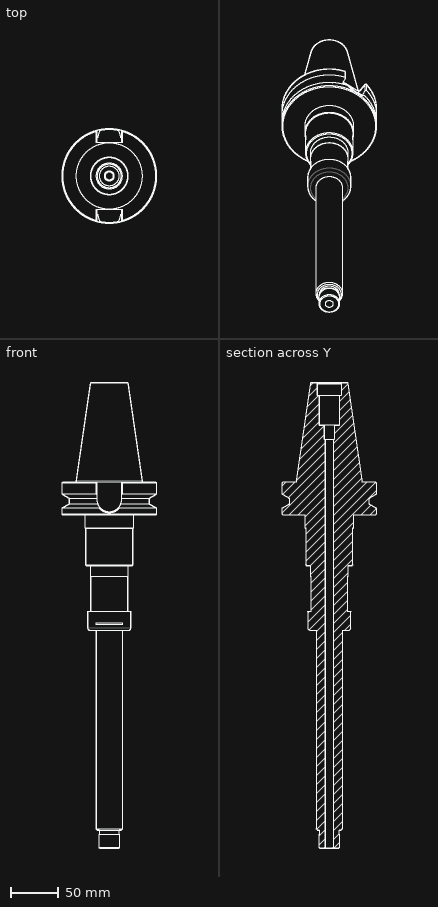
import cadquery as cq
import math

total_length = 491.3

taper_ratio = 7 / 24
gauge_diameter = 69.85
taper_length = 103.3
gauge_gap = 1.5
taper_end_chamfer = 0.5
taper_end_diameter = gauge_diameter - taper_length * taper_ratio

flange_diameter = 100.0
flange_height = 35.0
flange_edge = 1.0
groove_diameter = 85.0
groove_floor_height = 6.0
groove_floor_top_drop = 17.3
groove_side_angle = 60.0
groove_depth = (flange_diameter - groove_diameter) / 2
groove_side_height = groove_depth / math.tan(math.radians(groove_side_angle))

slot_width = 25.7
slot_floor_distance = 35.4
slot_length = 31.6
slot_chamfer = 1.0

shoulder_diameter = 51.5
shoulder_length = 14.0
shoulder_chamfer = 0.5
body_diameter = 50.0
body_length = 39.5
body_chamfer = 1.0
neck_diameter = 40.05
relief_diameter = 39.5
neck_length = 11.0
relief_length = 37.0
collar_diameter = 45.5
collar_length = 20.4
collar_round = 3.0
bar_diameter = 28.0
bar_chamfer = 1.5
tip_diameter = 22.0
tip_neck_diameter = 20.75
tip_length = 19.0
tip_neck_length = 4.5
tip_chamfer = 1.0

recess_width = 28.0
recess_height = 1.4
recess_depth = 0.3
recess_rise = 6.6

bore_mouth_diameter = 27.5
bore_diameter = 25.0
thread_diameter = 20.75
bore_depth = 13.5
thread_depth = 45.0
passage_mouth_diameter = 10.5
passage_diameter = 8.38
passage_mouth_depth = 60.0

gauge_z = total_length - taper_length
flange_top_z = gauge_z - gauge_gap
slot_arc_z = flange_top_z - slot_length + slot_width / 2
flange_bottom_z = flange_top_z - flange_height
shoulder_bottom_z = flange_bottom_z - shoulder_length
body_bottom_z = shoulder_bottom_z - body_length
neck_bottom_z = body_bottom_z - neck_length
collar_top_z = neck_bottom_z - relief_length
collar_bottom_z = collar_top_z - collar_length


def cylinder(diameter, bottom_z, top_z):
    return cq.Workplane("XY", origin=(0, 0, bottom_z)).circle(diameter / 2).extrude(top_z - bottom_z)


def make_taper():
    small_radius = taper_end_diameter / 2
    profile = (
        cq.Workplane("XZ")
        .moveTo(0, flange_top_z)
        .lineTo(gauge_diameter / 2, flange_top_z)
        .lineTo(gauge_diameter / 2, gauge_z)
        .lineTo(small_radius, total_length)
        .lineTo(0, total_length)
        .close()
    )
    taper = profile.revolve(360, (0, 0, 0), (0, 1, 0))
    return taper.faces(">Z").edges().chamfer(taper_end_chamfer)


def make_slot(side):
    """Driving slot on one side (+1 for +Y, -1 for -Y), with a flat floor and a semicircular end."""
    half_width = slot_width / 2
    depth = flange_diameter / 2 - slot_floor_distance
    return (
        cq.Workplane("XZ", origin=(0, side * slot_floor_distance, 0))
        .moveTo(-half_width, flange_top_z)
        .lineTo(-half_width, slot_arc_z)
        .threePointArc((0, slot_arc_z - half_width), (half_width, slot_arc_z))
        .lineTo(half_width, flange_top_z)
        .close()
        .extrude(-side * depth)
    )


def slot_rim(side):
    """Selects the straight rim edges of one slot; the rim of the round end is tangent to them."""
    margin = 0.5
    return cq.selectors.BoxSelector(
        (-slot_width / 2 - margin, side * (slot_floor_distance + margin), slot_arc_z + margin),
        (slot_width / 2 + margin, side * flange_diameter / 2, flange_top_z + margin),
    )


def make_groove():
    floor_top_z = flange_top_z - groove_floor_top_drop
    floor_bottom_z = floor_top_z - groove_floor_height
    outer_radius = flange_diameter / 2
    inner_radius = groove_diameter / 2
    return (
        cq.Workplane("XZ")
        .moveTo(inner_radius, floor_top_z)
        .lineTo(outer_radius, floor_top_z + groove_side_height)
        .lineTo(outer_radius, floor_bottom_z - groove_side_height)
        .lineTo(inner_radius, floor_bottom_z)
        .close()
        .revolve(360, (0, 0, 0), (0, 1, 0))
    )


def make_flange():
    flange = cylinder(flange_diameter, flange_bottom_z, flange_top_z).edges().chamfer(flange_edge)
    for side in (-1, 1):
        flange = flange.cut(make_slot(side))
        flange = flange.edges(slot_rim(side)).chamfer(slot_chamfer)
    return flange.cut(make_groove())


def make_shank():
    shoulder = cylinder(shoulder_diameter, shoulder_bottom_z, flange_bottom_z)
    shoulder = shoulder.faces("<Z").chamfer(shoulder_chamfer)
    body = cylinder(body_diameter, body_bottom_z, shoulder_bottom_z).faces("<Z").chamfer(body_chamfer)
    neck = cylinder(neck_diameter, neck_bottom_z, body_bottom_z)
    relief = cylinder(relief_diameter, collar_top_z, neck_bottom_z)
    collar = cylinder(collar_diameter, collar_bottom_z, collar_top_z).faces("<Z").fillet(collar_round)
    bar = cylinder(bar_diameter, tip_length, collar_bottom_z).faces("<Z").chamfer(bar_chamfer)
    tip_neck_bottom_z = tip_length - tip_neck_length
    tip_neck = cylinder(tip_neck_diameter, tip_neck_bottom_z, tip_length)
    tip = cylinder(tip_diameter, 0, tip_neck_bottom_z).faces("<Z").chamfer(tip_chamfer)
    shank = shoulder
    for step in (body, neck, relief, collar, bar, tip_neck, tip):
        shank = shank.union(step)
    return shank


def make_bore():
    mouth_height = (bore_mouth_diameter - bore_diameter) / 2
    bore = cylinder(bore_diameter, total_length - bore_depth, total_length)
    mouth = (
        cq.Workplane("XY", origin=(0, 0, total_length))
        .circle(bore_mouth_diameter / 2)
        .workplane(offset=-mouth_height)
        .circle(bore_diameter / 2)
        .loft()
    )
    thread = cylinder(thread_diameter, total_length - thread_depth, total_length)
    passage_mouth = cylinder(passage_mouth_diameter, total_length - passage_mouth_depth, total_length)
    passage = cylinder(passage_diameter, 0, total_length)
    return bore.union(mouth).union(thread).union(passage_mouth).union(passage)


def make_recess():
    bottom_z = collar_bottom_z + recess_rise
    top_z = bottom_z + recess_height
    floor_diameter = collar_diameter - 2 * recess_depth
    ring = cylinder(collar_diameter, bottom_z, top_z).cut(cylinder(floor_diameter, bottom_z, top_z))
    front_block = (
        cq.Workplane("XY", origin=(0, -collar_diameter / 2, bottom_z))
        .rect(recess_width, collar_diameter)
        .extrude(recess_height)
    )
    return ring.intersect(front_block)


result = make_taper().union(make_flange()).union(make_shank())
for side in (-1, 1):
    result = result.cut(make_slot(side))
result = result.cut(make_recess()).cut(make_bore())